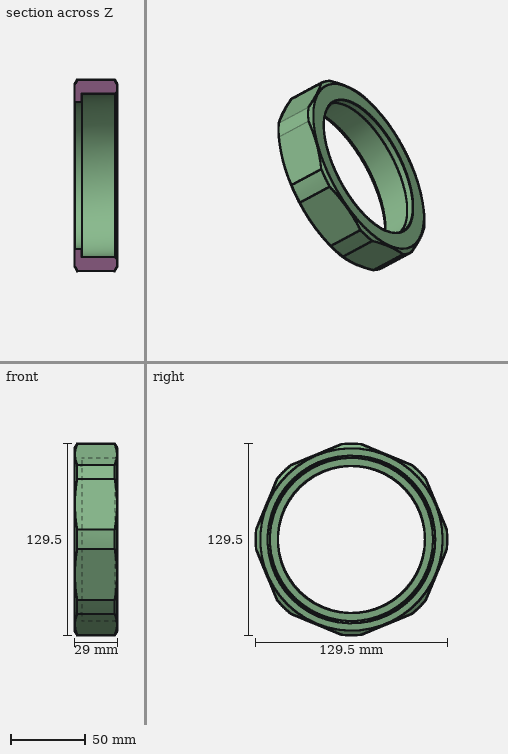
import cadquery as cq
import math

width = 29.0
corner_diameter = 129.5
across_flats = 124.0
flat_count = 8

face_diameter = 123.0
bevel_angle = 30.0
bevel_radial = (corner_diameter - face_diameter) / 2
bevel_axial = bevel_radial * math.tan(math.radians(bevel_angle))

lip_diameter = 99.0
bore_diameter = 110.0
lip_depth = 4.9
lip_chamfer = 0.3
exit_chamfer = 1.5


def beveled_disc():
    """Round blank with both rims beveled, centred on the origin."""
    half_width = width / 2
    corner_radius = corner_diameter / 2
    face_radius = face_diameter / 2
    profile = (
        cq.Workplane("XY")
        .moveTo(-half_width, 0)
        .lineTo(-half_width, face_radius)
        .lineTo(-half_width + bevel_axial, corner_radius)
        .lineTo(half_width - bevel_axial, corner_radius)
        .lineTo(half_width, face_radius)
        .lineTo(half_width, 0)
        .close()
    )
    return profile.revolve(360, (0, 0, 0), (1, 0, 0))


def wrench_flats():
    """Octagonal prism whose sides trim the blank to its wrench flats."""
    across_corners = across_flats / math.cos(math.pi / flat_count)
    return (
        cq.Workplane("YZ")
        .polygon(flat_count, across_corners)
        .extrude(width / 2, both=True)
    )


def stepped_bore():
    """Chamfered lip opening followed by the wider bore and its chamfered exit."""
    lip_radius = lip_diameter / 2
    bore_radius = bore_diameter / 2
    entry = -width / 2
    profile = (
        cq.Workplane("XY")
        .moveTo(entry, 0)
        .lineTo(entry, lip_radius + lip_chamfer)
        .lineTo(entry + lip_chamfer, lip_radius)
        .lineTo(entry + lip_depth, lip_radius)
        .lineTo(entry + lip_depth, bore_radius)
        .lineTo(width / 2 - exit_chamfer, bore_radius)
        .lineTo(width / 2, bore_radius + exit_chamfer)
        .lineTo(width / 2, 0)
        .close()
    )
    return profile.revolve(360, (0, 0, 0), (1, 0, 0))


result = beveled_disc().intersect(wrench_flats()).cut(stepped_bore())